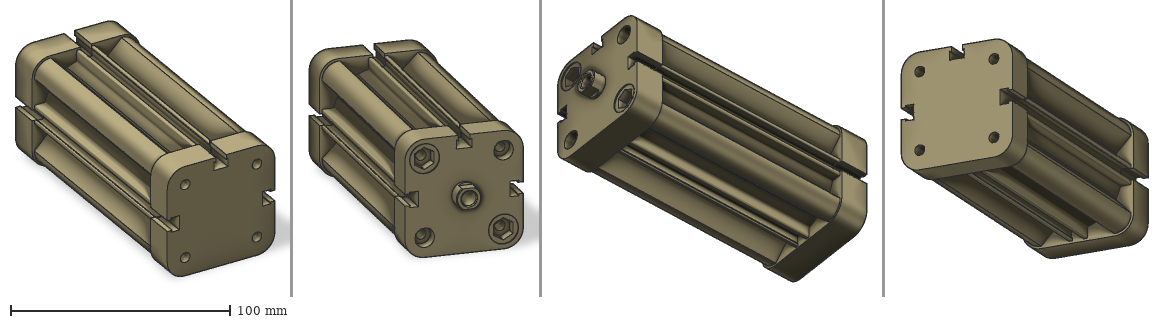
import cadquery as cq
import math


total_length = 143.0
cap_length = 14.9
rod_protrusion = 7.0
tube_start = rod_protrusion + cap_length
tube_end = total_length - cap_length
tube_length = tube_end - tube_start

cap_side = 57.0
cap_half = cap_side / 2
bolt_offset = 19.0
cap_corner_radius = cap_half - bolt_offset
bolt_diameter = 5.0
socket_size = 9.3
recess_diameter = 14.3
socket_depth = 5.6
recess_depth = 0.6

slot_mouth = 5.6
slot_mouth_half = slot_mouth / 2
cap_slot_width = 7.5
cap_slot_half = cap_slot_width / 2
cap_lip_inner = 2.6
cap_lip_outer = 2.1
cap_slot_depth = 6.5

tube_side = 54.8
tube_half = tube_side / 2
lobe_radius = 8.6

wall_radius = 22.3
lobe_edge = tube_half - lobe_radius
groove_floor = 19.9
groove_edge = lobe_edge - (tube_half - groove_floor)
rail_half = 5.0
rail_round = 0.9

tube_slot_width = 6.5
tube_slot_half = tube_slot_width / 2
tube_slot_floor = 22.5
tube_lip = 1.3
slot_round = 0.5

rod_diameter = 12.0
rod_chamfer = 0.5
flat_half = 5.0
flat_length = 5.0
flat_bevel = 0.6
thread_diameter = 7.0
thread_mouth = 8.0
thread_depth = 14.3
drill_angle = 118.0

clearance = 1.5
side_angles = {"+Y": 0, "+Z": 90, "-Y": 180, "-Z": 270}


def section(x):
    """Workplane across the cylinder at a station, with local axes along Y and Z."""
    return cq.Workplane("YZ", origin=(x, 0, 0))


def rounded_square(x, length, half, corner_radius):
    block = section(x).rect(2 * half, 2 * half).extrude(length)
    return block.edges("|X").fillet(corner_radius)


def turned(cutter, angle):
    return cutter.rotate((0, 0, 0), (1, 0, 0), angle)


def bolt_holes(x, length, diameter, corners):
    return section(x).pushPoints(corners).circle(diameter / 2).extrude(length)


bolt_corners = [(y, z) for y in (-bolt_offset, bolt_offset) for z in (-bolt_offset, bolt_offset)]
round_corners = [(y, z) for y, z in bolt_corners if y * z < 0]
hex_corners = [(y, z) for y, z in bolt_corners if y * z > 0]


def cap_slot(x):
    """T-slot cutter on the +Y side; the undersides of its lips slope."""
    half_outline = [
        (cap_half + clearance, slot_mouth_half),
        (cap_half - cap_lip_inner, slot_mouth_half),
        (cap_half - cap_lip_outer, cap_slot_half),
        (cap_half - cap_slot_depth, cap_slot_half),
    ]
    mirrored = [(y, -z) for y, z in reversed(half_outline)]
    return section(x).polyline(half_outline + mirrored).close().extrude(cap_length)


def make_cap(x):
    """Cap with bolt holes and T-slots on every side but the underside."""
    cap = rounded_square(x, cap_length, cap_half, cap_corner_radius)
    for side in ("+Y", "+Z", "-Y"):
        cap = cap.cut(turned(cap_slot(x), side_angles[side]))
    return cap.cut(bolt_holes(x, cap_length, bolt_diameter, bolt_corners))


def make_front_cap():
    """Front cap with round and hexagonal sockets on opposite diagonals and a bore for the rod."""
    x = rod_protrusion
    cap = make_cap(x)
    cap = cap.cut(bolt_holes(x, socket_depth, socket_size, round_corners))
    cap = cap.cut(bolt_holes(x, recess_depth, recess_diameter, hex_corners))
    hex_diameter = socket_size / math.cos(math.pi / 6)
    for y, z in hex_corners:
        hexagon = section(x).polygon(6, hex_diameter).extrude(socket_depth)
        cap = cap.cut(turned(hexagon, 90).translate((0, y, z)))
    return cap.cut(section(x).circle(rod_diameter / 2).extrude(cap_length))


def tube_groove():
    """Cutter for the groove above the rail on the +Y side, floored by the round cylinder wall."""
    root_z = rail_half + rail_round
    root_y = math.sqrt((wall_radius + rail_round) ** 2 - root_z**2)
    to_wall = wall_radius / (wall_radius + rail_round)
    wall_z = math.sqrt(wall_radius**2 - groove_floor**2)
    return (
        section(tube_start)
        .moveTo(tube_half + clearance, lobe_edge)
        .lineTo(tube_half, lobe_edge)
        .lineTo(groove_floor, groove_edge)
        .lineTo(groove_floor, wall_z)
        .radiusArc((root_y * to_wall, root_z * to_wall), wall_radius)
        .radiusArc((root_y, rail_half), -rail_round)
        .lineTo(tube_half - rail_round, rail_half)
        .radiusArc((tube_half, rail_half - rail_round), rail_round)
        .lineTo(tube_half + clearance, rail_half - rail_round)
        .close()
        .extrude(tube_length)
    )


def tube_slot():
    """Cutter for the undercut slot on the +Y side, with rounded mouth and floor corners."""
    mouth_edge = slot_mouth_half + slot_round
    undercut = tube_half - tube_lip
    floor_round = tube_slot_floor + slot_round
    return (
        section(tube_start)
        .moveTo(tube_half + clearance, mouth_edge)
        .lineTo(tube_half, mouth_edge)
        .radiusArc((tube_half - slot_round, slot_mouth_half), slot_round)
        .lineTo(undercut, slot_mouth_half)
        .lineTo(undercut, tube_slot_half)
        .lineTo(floor_round, tube_slot_half)
        .radiusArc((tube_slot_floor, tube_slot_half - slot_round), -slot_round)
        .lineTo(tube_slot_floor, slot_round - tube_slot_half)
        .radiusArc((floor_round, -tube_slot_half), -slot_round)
        .lineTo(undercut, -tube_slot_half)
        .lineTo(undercut, -slot_mouth_half)
        .lineTo(tube_half - slot_round, -slot_mouth_half)
        .radiusArc((tube_half, -mouth_edge), slot_round)
        .lineTo(tube_half + clearance, -mouth_edge)
        .close()
        .extrude(tube_length)
    )


def make_tube():
    tube = rounded_square(tube_start, tube_length, tube_half, lobe_radius)
    groove = tube_groove()
    for angle in side_angles.values():
        for cutter in (groove, groove.mirror("XY"), tube_slot()):
            tube = tube.cut(turned(cutter, angle))
    return tube.cut(bolt_holes(tube_start, tube_length, bolt_diameter, bolt_corners))


def rod_flat():
    """Cutter for the upper wrench flat, ending in a steep bevel."""
    rod_top = rod_diameter / 2
    return (
        cq.Workplane("XZ")
        .moveTo(0, flat_half)
        .lineTo(flat_length, flat_half)
        .lineTo(flat_length + flat_bevel, rod_top)
        .lineTo(0, rod_top)
        .close()
        .extrude(rod_diameter / 2, both=True)
    )


def rod_thread_hole():
    """Blind hole from the rod tip with a 45 degree mouth and a drill-point bottom."""
    radius = thread_diameter / 2
    mouth_radius = thread_mouth / 2
    point_depth = radius / math.tan(math.radians(drill_angle / 2))
    return (
        cq.Workplane("XZ")
        .polyline([
            (0, 0),
            (0, mouth_radius),
            (mouth_radius - radius, radius),
            (thread_depth, radius),
            (thread_depth + point_depth, 0),
        ])
        .close()
        .revolve(360, (0, 0, 0), (1, 0, 0))
    )


def make_rod():
    """Rod from its tip through the front cap to the front face of the tube."""
    rod = section(0).circle(rod_diameter / 2).extrude(tube_start)
    rod = rod.faces("<X").chamfer(rod_chamfer)
    for angle in (0, 180):
        rod = rod.cut(turned(rod_flat(), angle))
    return rod.cut(rod_thread_hole())


front_cap = make_front_cap()
tube = make_tube()
rear_cap = make_cap(tube_end)
rod = make_rod()

bodies = [front_cap, tube, rear_cap, rod]
result = cq.Compound.makeCompound([body.solids().val() for body in bodies])